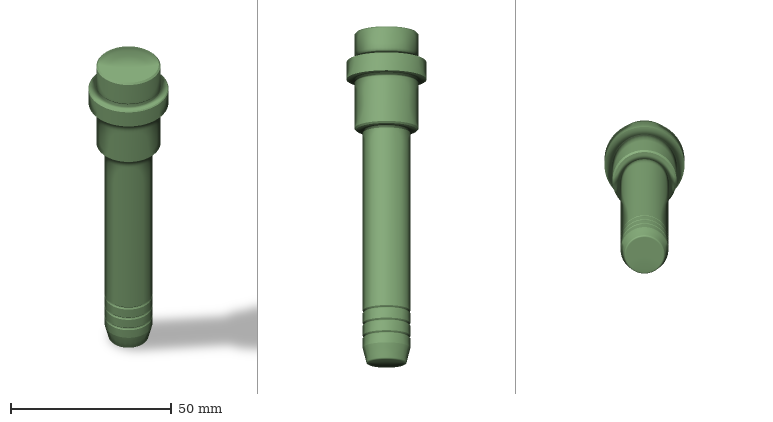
import cadquery as cq

total_height = 106.0
flange_top = 97.0
flange_thickness = 5.8
flange_bottom = flange_top - flange_thickness
body_bottom = 74.9

flange_diameter = 25.0
body_diameter = 20.0
shank_diameter = 14.9

body_chamfer = 0.5
flange_chamfer = 0.3
tip_rounding = 0.5

flange_relief_width = 1.2
shank_relief_width = 1.0
relief_depth = 0.5

oil_groove_width = 1.0
oil_groove_depth = 0.4
oil_groove_pitch = 4.0
oil_groove_count = 3
lowest_oil_groove = 8.0

taper_height = 5.0
tip_diameter = 12.4


def cylinder(diameter, bottom, top):
    """Solid cylinder on the Z axis between two heights."""
    return cq.Workplane("XY").workplane(offset=bottom).circle(diameter / 2).extrude(top - bottom)


def v_groove(diameter, depth, bottom, width):
    """Ring cutter for a symmetric V-shaped groove around a cylinder of the given diameter."""
    radius = diameter / 2
    profile = [(radius, bottom), (radius - depth, bottom + width / 2), (radius, bottom + width)]
    return cq.Workplane("XZ").polyline(profile).close().revolve(360, (0, 0), (0, 1))


body = cylinder(body_diameter, body_bottom, total_height).faces("<Z or >Z").chamfer(body_chamfer)
flange = cylinder(flange_diameter, flange_bottom, flange_top).faces(">Z").chamfer(flange_chamfer)

tip = (
    cq.Workplane("XY")
    .circle(tip_diameter / 2)
    .workplane(offset=taper_height)
    .circle(shank_diameter / 2)
    .loft(ruled=True)
    .faces("<Z")
    .fillet(tip_rounding)
)
shank = cylinder(shank_diameter, taper_height, body_bottom - shank_relief_width)

for index in range(oil_groove_count):
    groove_bottom = lowest_oil_groove + index * oil_groove_pitch
    shank = shank.cut(v_groove(shank_diameter, oil_groove_depth, groove_bottom, oil_groove_width))

for relief_bottom in (flange_top, flange_bottom - flange_relief_width):
    body = body.cut(v_groove(body_diameter, relief_depth, relief_bottom, flange_relief_width))

shank_top = body_bottom - shank_relief_width
shank_neck = cylinder(shank_diameter - 2 * relief_depth, shank_top, body_bottom)

result = tip.union(shank).union(shank_neck).union(body).union(flange)